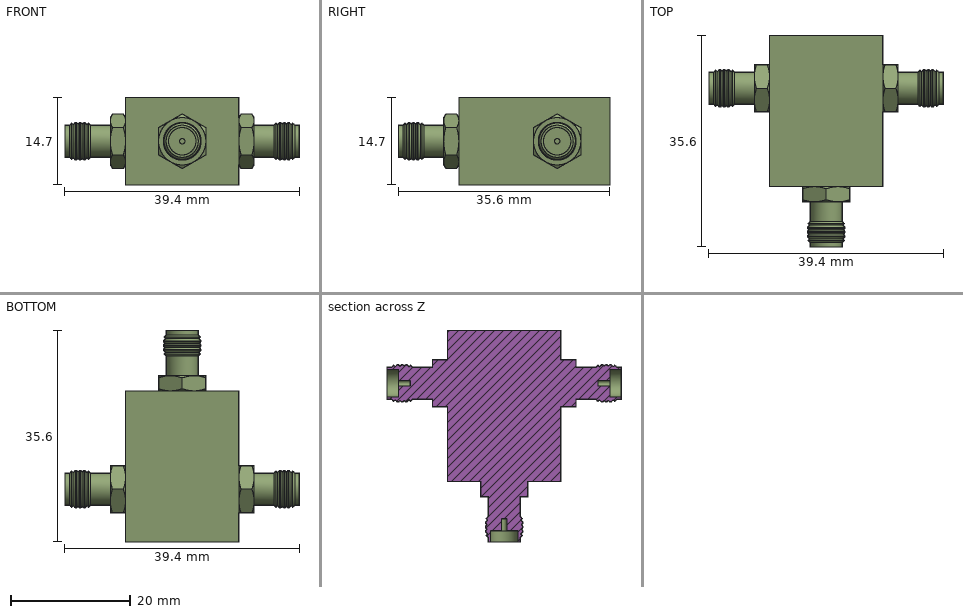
import cadquery as cq
import math

BODY_X = 19.05
BODY_Y = 25.4
BODY_Z = 14.73
SIDE_PORT_SETBACK = 8.89

CONNECTOR_LENGTH = 10.16
BARREL_RADIUS = 5.4 / 2
BORE_RADIUS = 4.6 / 2
BORE_DEPTH = 1.905
CONTACT_RADIUS = 0.9 / 2
CONTACT_DEPTH = 2.0

HEX_FLATS = 7.94
HEX_LENGTH = 2.54
HEX_CHAMFER_ANGLE = 30
HEX_CORNER_RADIUS = HEX_FLATS / math.sqrt(3)

THREAD_RADIUS = 6.35 / 2
THREAD_PITCH = 25.4 / 36
THREAD_RIDGES = 5
THREAD_TIP_GAP = 0.78
CREST_WIDTH = 0.15
END_RIDGE_RADIUS = BARREL_RADIUS + THREAD_PITCH / 2


def make_hex_flange():
    """Hexagonal prism trimmed by a revolved outline that chamfers its corners."""
    face_radius = HEX_FLATS / 2
    chamfer_depth = (HEX_CORNER_RADIUS - face_radius) * math.tan(math.radians(HEX_CHAMFER_ANGLE))
    prism = (
        cq.Workplane("XY")
        .polygon(6, 2 * HEX_CORNER_RADIUS)
        .extrude(HEX_LENGTH)
    )
    envelope = (
        cq.Workplane("XZ")
        .moveTo(0, 0)
        .lineTo(face_radius, 0)
        .lineTo(HEX_CORNER_RADIUS, chamfer_depth)
        .lineTo(HEX_CORNER_RADIUS, HEX_LENGTH - chamfer_depth)
        .lineTo(face_radius, HEX_LENGTH)
        .lineTo(0, HEX_LENGTH)
        .close()
        .revolve(360, (0, 0, 0), (0, 1, 0))
    )
    return prism.intersect(envelope)


def thread_points():
    """(radius, height) points of the thread from the base side to the tip side."""
    thread_end = CONNECTOR_LENGTH - THREAD_TIP_GAP
    thread_start = thread_end - THREAD_RIDGES * THREAD_PITCH
    points = [(BARREL_RADIUS, thread_start)]
    for ridge in range(THREAD_RIDGES):
        middle = thread_start + (ridge + 0.5) * THREAD_PITCH
        if ridge in (0, THREAD_RIDGES - 1):
            crest = [(END_RIDGE_RADIUS, middle)]
        else:
            crest = [
                (THREAD_RADIUS, middle - CREST_WIDTH / 2),
                (THREAD_RADIUS, middle + CREST_WIDTH / 2),
            ]
        if ridge > 0:
            points.append(valley_between(points[-1], crest[0]))
        points.extend(crest)
    points.append((BARREL_RADIUS, thread_end))
    return points


def valley_between(lower, upper):
    """Point where the 45 degree flanks falling from two neighbouring crests meet."""
    lower_radius, lower_height = lower
    upper_radius, upper_height = upper
    radius = (lower_radius + upper_radius - (upper_height - lower_height)) / 2
    return radius, lower_height + lower_radius - radius


def make_threaded_barrel():
    """Barrel with ridged thread, revolved about its axis in one piece."""
    outline = [
        (0, 0),
        (BARREL_RADIUS, 0),
        *thread_points(),
        (BARREL_RADIUS, CONNECTOR_LENGTH),
        (0, CONNECTOR_LENGTH),
    ]
    return cq.Workplane("XZ").polyline(outline).close().revolve(360, (0, 0, 0), (0, 1, 0))


def make_connector():
    """Connector along +Z, base at the origin, hexagon corners on the X axis."""
    return (
        make_threaded_barrel()
        .union(make_hex_flange())
        .faces(">Z")
        .workplane()
        .hole(2 * BORE_RADIUS, BORE_DEPTH)
        .faces(">Z")
        .workplane(offset=-BORE_DEPTH)
        .hole(2 * CONTACT_RADIUS, CONTACT_DEPTH)
    )


def place_connector(base, direction):
    """Connector on a housing face, pointing outward with two hexagon corners up and down."""
    plane = cq.Plane(origin=base, xDir=(0, 0, 1), normal=direction)
    return cq.Workplane(make_connector().val().located(cq.Location(plane)))


result = cq.Workplane("XY").box(BODY_X, BODY_Y, BODY_Z)
side_port_y = BODY_Y / 2 - SIDE_PORT_SETBACK
for side in (-1, 1):
    result = result.union(place_connector((side * BODY_X / 2, side_port_y, 0), (side, 0, 0)))
result = result.union(place_connector((0, -BODY_Y / 2, 0), (0, -1, 0)))